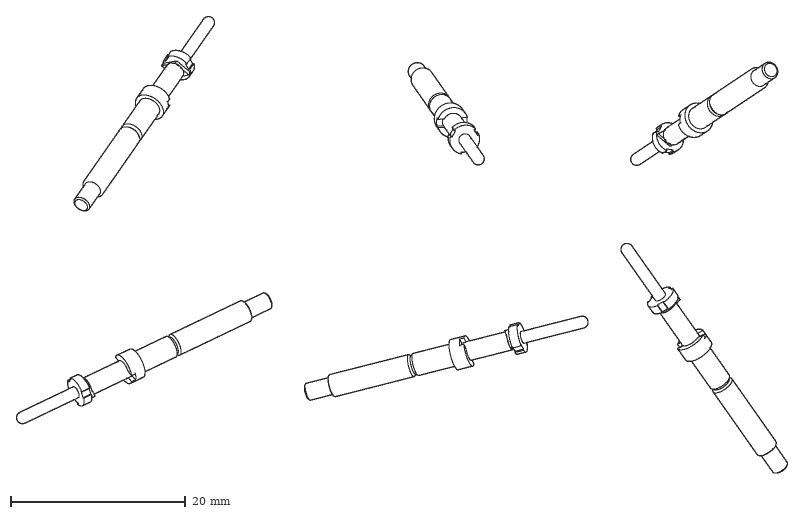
import cadquery as cq
import math

length = 34.3
tip_y = length / 2

pin_radius = 1.4 / 2
flange_radius = 3.5 / 2
neck_radius = 2.23 / 2
collar_radius = 3.6 / 2
body_radius = 2.65 / 2
tail_radius = 2.02 / 2

flange_start = 8.0
flange_end = 9.05
neck_start = 9.5
collar_start = 14.5
collar_end = 16.3
groove_start = 21.0
groove_bottom = 21.3
groove_end = 21.55
tail_start = 31.28

diamond_half_width = flange_radius
diamond_half_height = 1.13

groove_depth = 0.25

neck_lead_in = 0.48
neck_lead_in_drop = 0.017
body_rounding = 0.17
tail_chamfer_length = 0.17
tail_chamfer_drop = 0.2

keyway_count = 3
keyway_width = 0.8
keyway_floor_radius = 1.5
first_keyway_angle = 30.0

slot_width = 1.0
slot_depth = 0.5


def cylinder(radius, start, end):
    """Solid cylinder on the Y axis between two distances from the tip."""
    return (
        cq.Workplane("XZ", origin=(0, tip_y - start, 0))
        .circle(radius)
        .extrude(end - start)
    )


def make_pin():
    """Slim contact pin with a hemispherical tip."""
    pin = cylinder(pin_radius, pin_radius, flange_start)
    dome = cq.Workplane("XY").sphere(pin_radius).translate((0, tip_y - pin_radius, 0))
    return pin.union(dome)


def make_flange():
    """Disc with equally spaced keyways cut into its rim."""
    flange = cylinder(flange_radius, flange_start, flange_end)
    thickness = flange_end - flange_start
    keyway_height = flange_radius
    cutter = cq.Workplane("XY").box(keyway_height, thickness, keyway_width).translate(
        (keyway_floor_radius + keyway_height / 2, tip_y - (flange_start + flange_end) / 2, 0)
    )
    for index in range(keyway_count):
        angle = first_keyway_angle + index * 360 / keyway_count
        flange = flange.cut(cutter.rotate((0, 0, 0), (0, 1, 0), -angle))
    return flange


def make_diamond():
    """Diamond-shaped bridge between the flange and the neck."""
    wide, high = diamond_half_width, diamond_half_height
    return (
        cq.Workplane("XZ", origin=(0, tip_y - flange_end, 0))
        .polyline([(wide, 0), (0, high), (-wide, 0), (0, -high)])
        .close()
        .extrude(neck_start - flange_end)
    )


def make_barrel():
    """Neck, collar, grooved body and tail as one turned profile."""

    def at(radius, distance):
        """Profile point at a radius and a distance from the tip."""
        return (radius, tip_y - distance)

    front = [
        at(0, neck_start),
        at(neck_radius - neck_lead_in_drop, neck_start),
        at(neck_radius, neck_start + neck_lead_in),
        at(neck_radius, collar_start),
        at(collar_radius, collar_start),
        at(collar_radius, collar_end),
        at(body_radius, collar_end),
        at(body_radius, groove_start),
        at(body_radius - groove_depth, groove_bottom),
        at(body_radius, groove_end),
        at(body_radius, tail_start - body_rounding),
    ]
    corner_inset = body_rounding * (1 - math.sqrt(0.5))
    return (
        cq.Workplane("XY")
        .polyline(front)
        .threePointArc(
            at(body_radius - corner_inset, tail_start - corner_inset),
            at(body_radius - body_rounding, tail_start),
        )
        .lineTo(*at(tail_radius, tail_start))
        .lineTo(*at(tail_radius, length - tail_chamfer_length))
        .lineTo(*at(tail_radius - tail_chamfer_drop, length))
        .lineTo(*at(0, length))
        .close()
        .revolve(360, (0, 0, 0), (0, 1, 0))
    )


def make_collar_slot():
    """Slot along X through the collar, leaving the neck whole."""
    slot = cq.Workplane("XY").box(2 * collar_radius, slot_depth, slot_width).translate(
        (0, tip_y - collar_start - slot_depth / 2, 0)
    )
    return slot.cut(cylinder(neck_radius, collar_start, collar_start + slot_depth))


result = (
    make_barrel()
    .cut(make_collar_slot())
    .union(make_diamond())
    .union(make_flange())
    .union(make_pin())
)